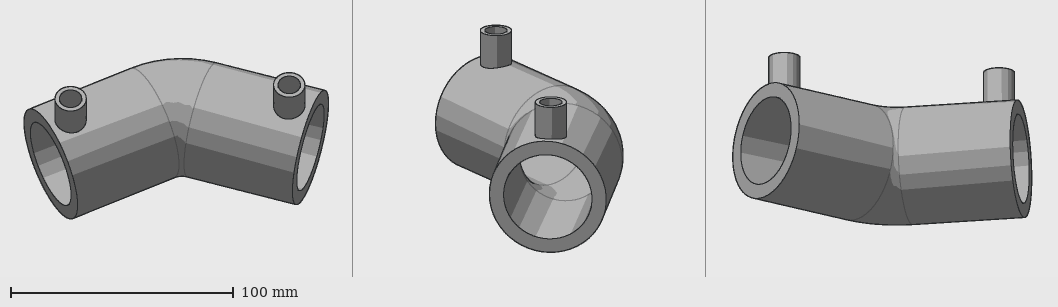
import cadquery as cq
import math

outer_diameter = 53.0
bore_diameter = 40.0
leg_length = 51.1
bend_radius = 29.4
bend_angle = 45

stub_diameter = 14.1
stub_bore_diameter = 10.0
stub_top = 41.6
stub_end_distance = 10.0

angle = math.radians(bend_angle)
leg_direction = (math.sin(angle), math.cos(angle))
bend_end = (
    bend_radius * (1 - math.cos(angle)),
    leg_length + bend_radius * math.sin(angle),
)


def point_on_second_leg(distance):
    """Point on the axis of the second leg, measured from the end of the bend."""
    return tuple(start + distance * step for start, step in zip(bend_end, leg_direction))


def elbow(diameter):
    """Solid round bar following the pipe axis."""
    half_angle = angle / 2
    bend_middle = (
        bend_radius * (1 - math.cos(half_angle)),
        leg_length + bend_radius * math.sin(half_angle),
    )
    path = (
        cq.Workplane("XY")
        .lineTo(0, leg_length)
        .threePointArc(bend_middle, bend_end)
        .lineTo(*point_on_second_leg(leg_length))
    )
    return cq.Workplane("XZ").circle(diameter / 2).sweep(path)


stub_centers = [
    (0, stub_end_distance),
    point_on_second_leg(leg_length - stub_end_distance),
]


def stubs():
    """Vertical tubes from the pipe axis height up to the stub tops."""
    return (
        cq.Workplane("XY")
        .pushPoints(stub_centers)
        .circle(stub_diameter / 2)
        .circle(stub_bore_diameter / 2)
        .extrude(stub_top)
    )


result = elbow(outer_diameter).union(stubs()).cut(elbow(bore_diameter))